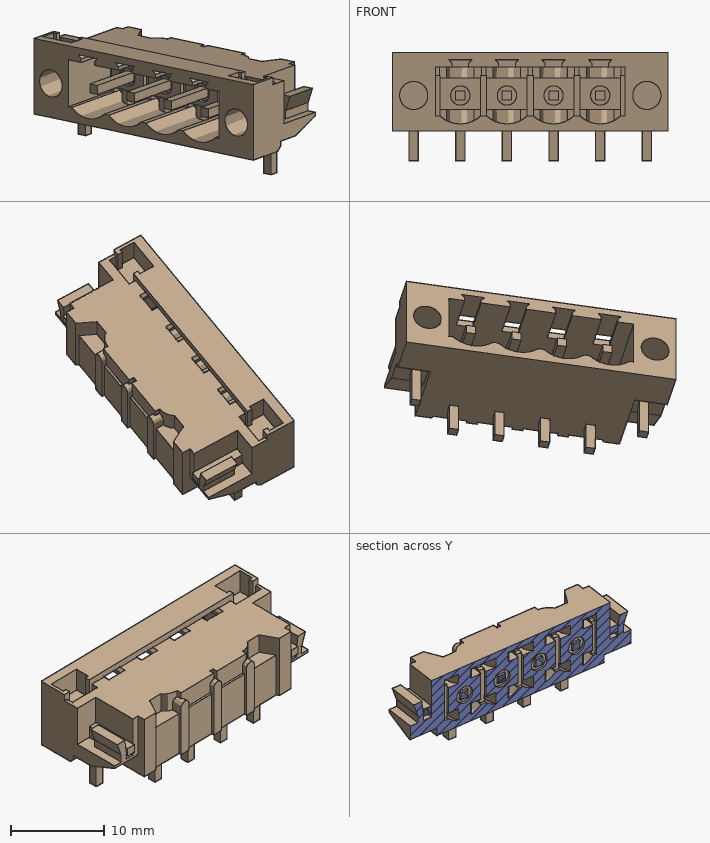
import cadquery as cq


contact_count = 4
pitch = 5.0
contact_xs = [(i - (contact_count - 1) / 2) * pitch for i in range(contact_count)]
partition_xs = [(i - contact_count / 2) * pitch for i in range(contact_count + 1)]
mount_x = (contact_count + 1) / 2 * pitch
axis_z = 3.82

wire = 1.0
tail_bottom = -3.2
contact_tip_y = 1.0
contact_rear_y = 10.45
mount_pin_front_y = 5.5
mount_pin_rear_y = 11.25

length = 29.6
depth = 12.0
front_height = 8.45
front_step_y = 3.5
roof_z = 7.65
flange_rear_y = 5.45
ear_rear_y = 11.05
ear_top_z = 2.85
ear_tip_z = 2.5
ear_slope_y = 7.5
ear_bottom_z = 1.0
foot_rear_y = 4.88
foot_chamfer = 0.5
shoulder_half = mount_x - wire / 2
core_half = 11.22

cavity_half = 10.15
cavity_bottom = 1.63
cavity_top = 6.87
scallop_bottom = 0.77
rib_width = 0.65
rib_upper_width = 0.5
rib_step_z = 5.95
rib_face_y = 7.5
rib_upper_face_y = 8.0
block_face_y = 7.0
block_bottom = 2.3
block_top = 5.7
post_radius = 1.48
cavity_back_y = block_face_y + post_radius
bore_radius = 1.05
bore_depth = 0.5

slot_top = 7.67
slot_rear_y = 4.2
slot_neck_z = 7.25
slot_top_width = 2.45
slot_neck_width = 1.8

screw_radius = 1.5
screw_depth = 4.32
pocket_outer = 14.42
pocket_inner = 10.6
pocket_neck_outer = 14.0
pocket_neck_inner = 11.0
pocket_front_y = 1.15
pocket_neck_y = 2.93
pocket_rear_y = 4.32
pocket_floor = 5.65

hook_front_y = 7.05
hook_top_z = 5.45
hook_barb_z = 3.75
hook_top_outer = 14.4
hook_top_inner = 13.23
hook_base_outer = 13.8
hook_base_inner = mount_x + wire / 2

recess_floor = 5.33
recess_front_y = 9.98
rear_wall_y = 11.65
roof_rear_y = 11.4
roof_notch_y = 10.8
roof_notch_width = 0.5
roof_arc_half = 1.63
recess_bottom_half = 8.35
recess_mouth_half = 9.45
rear_rib_radius = 0.6
rear_rib_axis_z = 6.25


def box(x0, x1, y0, y1, z0, z1):
    """Box between two opposite corners."""
    return cq.Workplane("XY").box(x1 - x0, y1 - y0, z1 - z0, centered=False).translate((x0, y0, z0))


def centred_box(x, width, y0, y1, z0, z1):
    """Box centred on x."""
    return box(x - width / 2, x + width / 2, y0, y1, z0, z1)


def prism_along_y(points, y0, y1):
    """Extrude an outline of (x, z) points from y0 to y1."""
    return cq.Workplane("XZ", origin=(0, y0, 0)).polyline(points).close().extrude(y0 - y1)


def cylinder_along_y(x, z, radius, y0, y1):
    """Cylinder with its axis along Y."""
    return cq.Workplane("XZ", origin=(x, y0, z)).circle(radius).extrude(y0 - y1)


def mirrored_pair(solid):
    """The feature and its mirror image at the other end of the housing."""
    return solid.add(solid.mirror("YZ")).combine()


def angled_pin(x, y_tip, y_rear, y_tail):
    """Square wire along Y with a tail that runs down; y_tail is the front of the tail."""
    arm = centred_box(x, wire, y_tip, y_rear, axis_z - wire / 2, axis_z + wire / 2)
    tail = centred_box(x, wire, y_tail, y_tail + wire, tail_bottom, axis_z + wire / 2)
    return arm.union(tail)


def make_contact(x):
    return angled_pin(x, contact_tip_y, contact_rear_y, contact_rear_y - wire)


def make_mounting_pin(x):
    return angled_pin(x, mount_pin_front_y, mount_pin_rear_y, mount_pin_front_y)


def housing_shell():
    """Solid envelope: full-length flanges and ears, shoulders and the core down to the base."""
    flange_side = [
        (0, 0),
        (foot_rear_y - foot_chamfer, 0),
        (foot_rear_y, foot_chamfer),
        (foot_rear_y, ear_bottom_z),
        (ear_slope_y, ear_bottom_z),
        (ear_rear_y, ear_tip_z),
        (ear_rear_y, ear_top_z),
        (flange_rear_y, ear_top_z),
        (flange_rear_y, roof_z),
        (front_step_y, roof_z),
        (front_step_y, front_height),
        (0, front_height),
    ]
    flanges = cq.Workplane("YZ").polyline(flange_side).close().extrude(length / 2, both=True)
    shoulders = box(-shoulder_half, shoulder_half, foot_rear_y, ear_rear_y, ear_top_z, roof_z)
    core = box(-core_half, core_half, foot_rear_y - foot_chamfer, depth, 0, roof_z)
    return flanges.union(shoulders).union(core)


def latch_hooks():
    """Hooks that lean outwards on top of the ears."""
    profile = [
        (hook_base_inner, ear_top_z),
        (hook_base_outer, ear_top_z),
        (hook_base_outer, hook_barb_z),
        (hook_top_outer, hook_top_z),
        (hook_top_inner, hook_top_z),
        (hook_base_inner, hook_barb_z),
    ]
    return mirrored_pair(prism_along_y(profile, hook_front_y, ear_rear_y))


def mating_cavity():
    """Open front cavity with a scalloped floor, less the shapes left standing on its back wall."""
    cavity = box(-cavity_half, cavity_half, 0, cavity_back_y, cavity_bottom, cavity_top)
    scallop_half = (pitch - rib_width) / 2
    for x in contact_xs:
        scallop = (
            cq.Workplane("XZ")
            .moveTo(x - scallop_half, cavity_bottom)
            .threePointArc((x, scallop_bottom), (x + scallop_half, cavity_bottom))
            .close()
            .extrude(-cavity_back_y)
        )
        cavity = cavity.union(scallop)
    for x in contact_xs:
        block = centred_box(x, pitch - rib_width, block_face_y, cavity_back_y, block_bottom, block_top)
        bore = cylinder_along_y(x, axis_z, bore_radius, block_face_y, block_face_y + bore_depth)
        post = cq.Workplane("XY", origin=(x, cavity_back_y, 0)).circle(post_radius).extrude(cavity_top)
        cavity = cavity.cut(block.cut(bore)).cut(post.cut(block))
    for x in partition_xs:
        lower_rib = centred_box(x, rib_width, rib_face_y, cavity_back_y, cavity_bottom, rib_step_z)
        upper_rib = centred_box(x, rib_upper_width, rib_upper_face_y, cavity_back_y, rib_step_z, cavity_top)
        cavity = cavity.cut(lower_rib).cut(upper_rib)
    return cavity


def coding_slot(x):
    """Dovetail slot in the cavity roof; it breaks through the roof behind the raised rim."""
    top = slot_top_width / 2
    neck = slot_neck_width / 2
    profile = [
        (x - neck, cavity_top),
        (x + neck, cavity_top),
        (x + neck, slot_neck_z),
        (x + top, slot_top),
        (x - top, slot_top),
        (x - neck, slot_neck_z),
    ]
    return prism_along_y(profile, 0, slot_rear_y)


def screw_holes():
    return mirrored_pair(cylinder_along_y(mount_x, axis_z, screw_radius, 0, screw_depth))


def nut_pockets():
    """Pockets open to the top, narrowed by a pair of tabs at the raised rim."""
    front = box(pocket_inner, pocket_outer, pocket_front_y, pocket_neck_y, pocket_floor, front_height)
    neck = box(pocket_neck_inner, pocket_neck_outer, pocket_neck_y, front_step_y, pocket_floor, front_height)
    rear = box(pocket_inner, pocket_outer, front_step_y, pocket_rear_y, pocket_floor, front_height)
    return mirrored_pair(front.union(neck).union(rear))


def rear_recess():
    """Cut that trims the roof edge above and sets the rear wall back between the two tails."""
    mouth = [
        (-recess_mouth_half, depth),
        (-recess_bottom_half, recess_front_y),
        (recess_bottom_half, recess_front_y),
        (recess_mouth_half, depth),
    ]
    tail_gap = cq.Workplane("XY").polyline(mouth).close().extrude(roof_z)
    wall = box(-length / 2, length / 2, 0, rear_wall_y, 0, recess_floor)
    return tail_gap.cut(wall).cut(roof_edge())


def roof_edge():
    """Rear edge of the roof: rounded outer corners and a notch beside the middle rear rib."""
    arc_end = pitch
    arc_start = pitch + roof_arc_half
    sag = roof_notch_y - recess_front_y
    radius = (roof_arc_half**2 + sag**2) / (2 * sag)
    return (
        cq.Workplane("XY", origin=(0, 0, recess_floor))
        .moveTo(-arc_start, recess_front_y)
        .radiusArc((-arc_end, roof_notch_y), radius)
        .lineTo(-arc_end, roof_rear_y)
        .lineTo(-roof_notch_width, roof_rear_y)
        .lineTo(-roof_notch_width, roof_notch_y)
        .lineTo(0, roof_notch_y)
        .lineTo(0, roof_rear_y)
        .lineTo(arc_end, roof_rear_y)
        .lineTo(arc_end, roof_notch_y)
        .radiusArc((arc_start, recess_front_y), radius)
        .close()
        .extrude(roof_z - recess_floor)
    )


def rear_rib(x):
    """Upright rib with a round top, standing between two contacts at the rear."""
    upright = centred_box(x, 2 * rear_rib_radius, recess_front_y, depth, 0, rear_rib_axis_z)
    return upright.union(cylinder_along_y(x, rear_rib_axis_z, rear_rib_radius, recess_front_y, depth))


def make_housing(pins):
    """Housing with all its features and a matching hole for every pin."""
    housing = housing_shell().union(latch_hooks())
    housing = housing.cut(mating_cavity()).cut(screw_holes()).cut(nut_pockets()).cut(rear_recess())
    for x in contact_xs:
        housing = housing.cut(coding_slot(x))
    for x in partition_xs[1:-1]:
        housing = housing.union(rear_rib(x))
    for pin in pins:
        housing = housing.cut(pin)
    return housing


contacts = [make_contact(x) for x in contact_xs]
mounting_pins = [make_mounting_pin(x) for x in (-mount_x, mount_x)]
housing = make_housing(contacts + mounting_pins)

result = cq.Compound.makeCompound([housing.val(), *[pin.val() for pin in contacts + mounting_pins]])